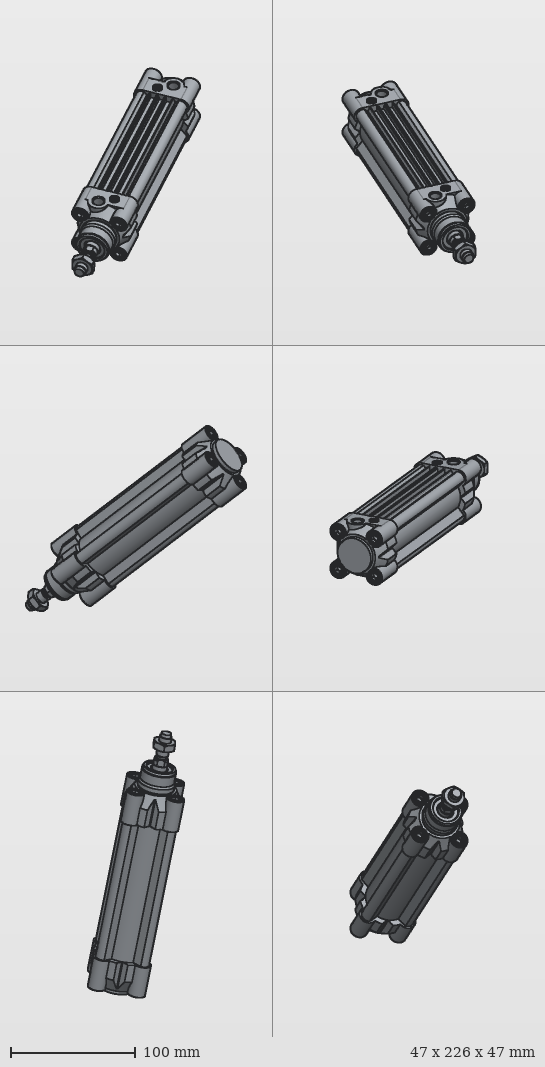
import cadquery as cq
import math


total_length = 226.0
front_cap_face = 48.1
cap_length = 26.7
rear_boss_length = 3.6
rear_cap_face = total_length - rear_boss_length
barrel_start = front_cap_face + cap_length
barrel_end = rear_cap_face - cap_length
barrel_length = barrel_end - barrel_start

outer_width = 47.0
half_width = outer_width / 2
post_offset = 16.3
post_radius = half_width - post_offset
core_radius = 23.3
core_face_radius = 17.2
cone_length = 11.3
notch_floor = 18.8
notch_floor_half = 0.5
pad_bottom = 15.8

port_x = -5.5
port_y = 13.0
port_boss_radius = 8.8
port_diameter = 8.5
port_mouth_diameter = 10.5
port_mouth_depth = 1.0
port_sleeve_diameter = 22.0
port_throat_diameter = 7.0
port_throat_top = 13.5

cushion_x = 5.9
cushion_y = 19.7
cushion_recess_diameter = 8.0
cushion_recess_depth = 1.0
cushion_step_diameter = 5.0
cushion_step_depth = 1.8
cushion_socket_diameter = 3.5
cushion_socket_depth = 2.7

screw_recess_diameter = 12.0
screw_recess_depth = 1.8
screw_head_diameter = 10.0
screw_rim_diameter = 8.5
screw_rim_depth = 0.7
screw_socket_width = 5.9
screw_socket_depth = 3.6
screw_cone_diameter = 5.0
screw_cone_depth = 1.5

boss_diameter = 30.0
boss_length = 4.7
boss_chamfer_length = 2.0
nose_diameter = 28.0
nose_length = 17.9
nose_groove_depth = 0.35
nose_groove_width = 0.7
nose_chamfer_length = 2.0
nose_chamfer_depth = 1.0
boss_undercut_depth = 0.2
boss_undercut_width = 0.7
wiper_recess_diameter = 22.0
wiper_floor_diameter = 20.8
wiper_recess_depth = 1.1
wiper_hole_diameter = 14.0
wiper_hole_depth = 1.5

bore_diameter = 32.0
barrel_half = 22.0
corner_radius = barrel_half - post_offset
corner_edge = 15.0
wall_radius = 18.5
wall_half_span = 8.8
rib_bevel = 0.7
groove_outer_x = 12.5
groove_inner_x = 11.8
groove_floor = 19.2
outer_rib_base_x = 10.6
outer_rib_top_x = 10.0
slot_outer_x = 9.3
slot_inner_x = 4.3
slot_floor = 17.6
inner_rib_top_x = 3.2
inner_rib_base_x = 2.3
middle_wall_x = 1.8
middle_floor_x = 1.0
middle_floor = 18.0

rod_diameter = 12.0
rod_shoulder = 22.0
wrench_width = 10.0
wrench_diameter = 11.5
wrench_end = 27.8
rod_end_diameter = 10.5
rod_chamfer_end = 23.3
thread_diameter = 10.0
thread_end = 19.0
thread_tip_diameter = 8.5
thread_tip_length = 3.0
tip_end_diameter = 8.0
relief_diameter = 8.0
relief_chamfer_length = 1.1
nut_start = 7.0
nut_thickness = 6.0
nut_width = 17.0
nut_chamfer_angle = 30.0


def revolve_y(profile):
    """Solid of revolution about Y from a list of (radius, y) points."""
    return cq.Workplane("XY").polyline(profile).close().revolve(360, (0, 0, 0), (0, 1, 0))


def cylinder_along_y(diameter, y_start, y_end, x=0.0, z=0.0):
    """Cylinder along Y from y_start to y_end."""
    plane = cq.Workplane(cq.Plane((x, y_start, z), (1, 0, 0), (0, 1, 0)))
    return plane.circle(diameter / 2).extrude(y_end - y_start)


def cone_along_y(start_diameter, end_diameter, y_start, y_end, x=0.0, z=0.0):
    """Cone along Y whose diameter changes from y_start to y_end."""
    cone = cq.Solid.makeCone(
        start_diameter / 2, end_diameter / 2, y_end - y_start, cq.Vector(x, y_start, z), cq.Vector(0, 1, 0)
    )
    return cq.Workplane(cone)


def hexagon_along_y(width, y_start, y_end, x=0.0, z=0.0):
    """Hexagonal prism with flats facing +-X and corners at +-Z."""
    corner = width / math.sqrt(3)
    plane = cq.Workplane(cq.Plane((x, y_start, z), (0, 0, 1), (0, 1, 0)))
    return plane.polygon(6, 2 * corner).extrude(y_end - y_start)


def drill_down(diameter, x, y, z_bottom):
    """Upright cylinder from z_bottom to the top face of a cap."""
    plane = cq.Workplane("XY", origin=(x, y, z_bottom))
    return plane.circle(diameter / 2).extrude(half_width - z_bottom)


def side_notch():
    """Cutter for a 45-degree V groove along the lower (-Z) side of a cap."""
    depth = half_width - notch_floor
    mouth_half = notch_floor_half + depth
    return (
        cq.Workplane("XZ")
        .polyline([
            (-mouth_half, -half_width),
            (-notch_floor_half, -notch_floor),
            (notch_floor_half, -notch_floor),
            (mouth_half, -half_width),
        ])
        .close()
        .extrude(-cap_length)
    )


def port_pad():
    """Flat pad on top of a cap, with a rounded boss around the port."""
    pad_height = half_width - pad_bottom
    plate = (
        cq.Workplane("XY", origin=(0, (cone_length + cap_length) / 2, pad_bottom))
        .rect(2 * post_offset, cap_length - cone_length)
        .extrude(pad_height)
    )
    return plate.union(drill_down(2 * port_boss_radius, port_x, port_y, pad_bottom))


def port_cut(floor_z):
    """Port drilled down to floor_z, with a countersunk mouth."""
    mouth = cq.Solid.makeCone(
        port_diameter / 2,
        port_mouth_diameter / 2,
        port_mouth_depth,
        cq.Vector(port_x, port_y, half_width - port_mouth_depth),
    )
    return drill_down(port_diameter, port_x, port_y, floor_z).union(cq.Workplane(mouth))


def cushion_screw_cut():
    """Stepped recess of the cushion adjusting screw."""
    recess = drill_down(cushion_recess_diameter, cushion_x, cushion_y, half_width - cushion_recess_depth)
    step = drill_down(cushion_step_diameter, cushion_x, cushion_y, half_width - cushion_step_depth)
    socket = drill_down(cushion_socket_diameter, cushion_x, cushion_y, half_width - cushion_socket_depth)
    return recess.union(step).union(socket)


def corner_screw_cut(x, z):
    """Gap around a bevelled screw head, and its hexagon socket with a conical floor."""
    head = cylinder_along_y(screw_head_diameter, screw_rim_depth, screw_recess_depth, x, z)
    head = head.union(cone_along_y(screw_rim_diameter, screw_head_diameter, 0, screw_rim_depth, x, z))
    gap = cylinder_along_y(screw_recess_diameter, 0, screw_recess_depth, x, z).cut(head)
    socket = hexagon_along_y(screw_socket_width, 0, screw_socket_depth, x, z)
    cone_end = screw_socket_depth + screw_cone_depth
    cone = cone_along_y(screw_cone_diameter, 0, screw_socket_depth, cone_end, x, z)
    return gap.union(socket.union(cone))


def make_cap():
    """Cap without boss or port: tapered round core, four corner posts, port pad and screws."""
    cap = revolve_y([
        (0, 0),
        (core_face_radius, 0),
        (core_radius, cone_length),
        (core_radius, cap_length),
        (0, cap_length),
    ])
    for angle in (0, 90, -90):
        cap = cap.cut(side_notch().rotate((0, 0, 0), (0, 1, 0), angle))
    corners = [(sx * post_offset, sz * post_offset) for sx in (-1, 1) for sz in (-1, 1)]
    for x, z in corners:
        cap = cap.union(cylinder_along_y(2 * post_radius, 0, cap_length, x, z))
    cap = cap.union(port_pad())
    for x, z in corners:
        cap = cap.cut(corner_screw_cut(x, z))
    return cap.cut(cushion_screw_cut())


def make_front_cap():
    """Front cap with rod nose; its port narrows to a throat that stops at the sleeve around the rod."""
    boss_r = boss_diameter / 2
    nose_r = nose_diameter / 2
    groove_r = nose_r - nose_groove_depth
    chamfer_start = -nose_length + nose_chamfer_length
    groove_end = chamfer_start + nose_groove_width
    undercut_r = boss_r - boss_undercut_depth
    nose = revolve_y([
        (0, 0),
        (undercut_r, 0),
        (undercut_r, -boss_undercut_width),
        (boss_r, -boss_undercut_width),
        (boss_r, -boss_length),
        (nose_r, -boss_length - boss_chamfer_length),
        (nose_r, groove_end),
        (groove_r, groove_end),
        (groove_r, chamfer_start),
        (nose_r, chamfer_start),
        (nose_r - nose_chamfer_depth, -nose_length),
        (0, -nose_length),
    ])
    wiper_floor = wiper_recess_depth - nose_length
    cap = make_cap().union(nose)
    sleeve = cylinder_along_y(port_sleeve_diameter, 0, cap_length)
    throat = drill_down(port_throat_diameter, port_x, port_y, 0)
    cap = cap.cut(port_cut(port_throat_top).union(throat.cut(sleeve)))
    cap = cap.cut(cone_along_y(wiper_recess_diameter, wiper_floor_diameter, -nose_length, wiper_floor))
    cap = cap.cut(cylinder_along_y(wiper_hole_diameter, wiper_floor, wiper_floor + wiper_hole_depth))
    cap = cap.cut(cylinder_along_y(rod_diameter, -nose_length, cap_length))
    return cap.translate((0, front_cap_face, 0))


def make_rear_cap():
    """Rear cap: the same cap turned half a turn about Z, with a short round boss."""
    boss = cylinder_along_y(boss_diameter, -rear_boss_length, 0)
    cap = make_cap().union(boss).cut(port_cut(0))
    return cap.rotate((0, 0, 0), (0, 0, 1), 180).translate((0, rear_cap_face, 0))


def slotted_top():
    """Right half of the grooved top, as (x, z) points from the corner round to the middle."""
    outer_groove = [
        (groove_outer_x, groove_floor),
        (groove_inner_x, groove_floor),
        (outer_rib_base_x, barrel_half - rib_bevel),
        (outer_rib_top_x, barrel_half),
    ]
    sensor_slot = [
        (slot_outer_x, barrel_half),
        (slot_outer_x, slot_floor),
        (slot_inner_x, slot_floor),
        (slot_inner_x, barrel_half),
    ]
    middle_groove = [
        (inner_rib_top_x, barrel_half),
        (inner_rib_base_x, barrel_half - rib_bevel),
        (middle_wall_x, middle_floor),
        (middle_floor_x, middle_floor),
    ]
    return outer_groove + sensor_slot + middle_groove


def make_barrel():
    """Extruded tube: round corners, bulged plain sides and a top with sensor slots."""
    edge_drop = math.sqrt(corner_radius**2 - (corner_edge - post_offset) ** 2)
    edge_reach = post_offset + edge_drop
    wall_reach = math.sqrt(wall_radius**2 - wall_half_span**2)
    corner_mid = post_offset + corner_radius / math.sqrt(2)
    top = slotted_top()
    outline = (
        cq.Workplane("XZ", origin=(0, barrel_start, 0))
        .moveTo(corner_edge, edge_reach)
        .threePointArc((corner_mid, corner_mid), (edge_reach, corner_edge))
        .lineTo(wall_reach, wall_half_span)
        .threePointArc((wall_radius, 0), (wall_reach, -wall_half_span))
        .lineTo(edge_reach, -corner_edge)
        .threePointArc((corner_mid, -corner_mid), (corner_edge, -edge_reach))
        .lineTo(wall_half_span, -wall_reach)
        .threePointArc((0, -wall_radius), (-wall_half_span, -wall_reach))
        .lineTo(-corner_edge, -edge_reach)
        .threePointArc((-corner_mid, -corner_mid), (-edge_reach, -corner_edge))
        .lineTo(-wall_reach, -wall_half_span)
        .threePointArc((-wall_radius, 0), (-wall_reach, wall_half_span))
        .lineTo(-edge_reach, corner_edge)
        .threePointArc((-corner_mid, corner_mid), (-corner_edge, edge_reach))
    )
    for x, z in top:
        outline = outline.lineTo(-x, z)
    for x, z in reversed(top):
        outline = outline.lineTo(x, z)
    barrel = outline.close().extrude(-barrel_length)
    return barrel.cut(cylinder_along_y(bore_diameter, barrel_start, barrel_end))


def make_rod():
    """Stepped rod with a relieved thread and two wrench flats at +-Z, reaching the rear cap."""
    rod_r = rod_diameter / 2
    thread_r = thread_diameter / 2
    wrench_r = wrench_diameter / 2
    relief_r = relief_diameter / 2
    tip_r = thread_tip_diameter / 2
    rod = revolve_y([
        (0, 0),
        (tip_end_diameter / 2, 0),
        (tip_r, thread_tip_length),
        (thread_r, thread_tip_length),
        (thread_r, thread_end),
        (relief_r, thread_end + relief_chamfer_length),
        (relief_r, rod_shoulder),
        (rod_end_diameter / 2, rod_shoulder),
        (wrench_r, rod_chamfer_end),
        (wrench_r, wrench_end),
        (rod_r, wrench_end),
        (rod_r, barrel_end),
        (0, barrel_end),
    ])
    wrench_length = wrench_end - rod_shoulder
    for side in (-1, 1):
        waste_z = side * (wrench_width + rod_diameter) / 2
        waste = cq.Workplane("XY").box(rod_diameter, wrench_length, rod_diameter)
        rod = rod.cut(waste.translate((0, rod_shoulder + wrench_length / 2, waste_z)))
    return rod


def make_nut():
    """Hexagon nut with its corners chamfered at both ends."""
    nut_end = nut_start + nut_thickness
    flat_r = nut_width / 2
    corner_r = nut_width / math.sqrt(3)
    chamfer = (corner_r - flat_r) * math.tan(math.radians(nut_chamfer_angle))
    envelope = revolve_y([
        (0, nut_start),
        (flat_r, nut_start),
        (corner_r, nut_start + chamfer),
        (corner_r, nut_end - chamfer),
        (flat_r, nut_end),
        (0, nut_end),
    ])
    nut = hexagon_along_y(nut_width, nut_start, nut_end).intersect(envelope)
    return nut.cut(cylinder_along_y(thread_diameter, nut_start, nut_end))


front_cap = make_front_cap()
rear_cap = make_rear_cap()
barrel = make_barrel()
rod = make_rod()
nut = make_nut()

result = cq.Compound.makeCompound(
    [front_cap.val(), rear_cap.val(), barrel.val(), rod.val(), nut.val()]
)